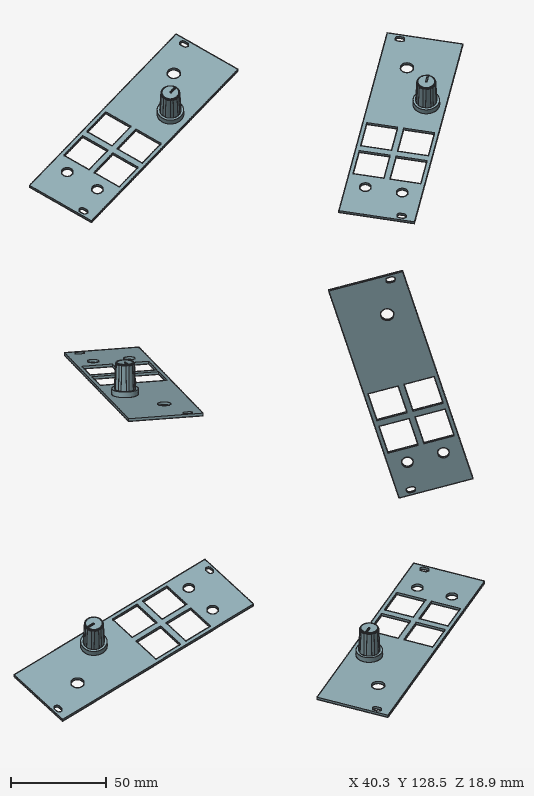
import cadquery as cq

PANEL_WIDTH = 40.3
PANEL_LENGTH = 128.5
PANEL_THICKNESS = 1.5

SLOT_LENGTH = 5.0
SLOT_WIDTH = 3.2
SLOT_X = 12.7
SLOT_Y = 61.3

LARGE_HOLE_DIAMETER = 7.0
LARGE_HOLE_X = -5.1
LARGE_HOLE_Y = 42.0
JACK_HOLE_DIAMETER = 6.0
JACK_HOLE_Y = -45.1

COLUMN_PITCH = 19.7

WINDOW_WIDTH = 16.5
WINDOW_HEIGHT = 16.6
WINDOW_ROW_PITCH = 20.2
WINDOW_GRID_Y = -18.6

KNOB_X = COLUMN_PITCH / 2
KNOB_Y = 18.9
KNOB_TOP_Z = 18.9
COLLAR_BASE_DIAMETER = 14.1
COLLAR_TOP_DIAMETER = 13.9
COLLAR_HEIGHT = 3.0
GRIP_BASE_DIAMETER = 11.2
GRIP_TOP_DIAMETER = 10.0
GRIP_CHAMFER_HEIGHT = 0.4

GROOVE_COUNT = 8
GROOVE_WIDTH = 1.5
GROOVE_DEPTH = 0.1

CAP_HEIGHT = 0.4
CAP_BASE_DIAMETER = 9.5
CAP_TOP_DIAMETER = 8.7
POINTER_WIDTH = 0.8
POINTER_LENGTH = 4.6

COLUMN_XS = (-COLUMN_PITCH / 2, COLUMN_PITCH / 2)
GRIP_BASE_Z = PANEL_THICKNESS + COLLAR_HEIGHT
CAP_BASE_Z = KNOB_TOP_Z - CAP_HEIGHT
GRIP_HEIGHT = CAP_BASE_Z - GRIP_BASE_Z


def make_round(profile, base_z):
    """Solid of revolution about the knob axis from (radius, height) points above base_z."""
    bottom, top = profile[0][1], profile[-1][1]
    return (
        cq.Workplane("XZ")
        .polyline([(0, bottom), *profile, (0, top)]).close().revolve()
        .translate((KNOB_X, KNOB_Y, base_z))
    )


def make_panel():
    """Flat panel resting on Z = 0, with all its openings cut through."""
    window_rows = (WINDOW_GRID_Y - WINDOW_ROW_PITCH / 2, WINDOW_GRID_Y + WINDOW_ROW_PITCH / 2)
    return (
        cq.Workplane("XY")
        .box(PANEL_WIDTH, PANEL_LENGTH, PANEL_THICKNESS, centered=(True, True, False))
        .faces(">Z").workplane(origin=(0, 0, PANEL_THICKNESS))
        .pushPoints([(-SLOT_X, SLOT_Y), (SLOT_X, -SLOT_Y)])
        .slot2D(SLOT_LENGTH, SLOT_WIDTH).cutThruAll()
        .pushPoints([(LARGE_HOLE_X, LARGE_HOLE_Y)])
        .hole(LARGE_HOLE_DIAMETER)
        .pushPoints([(x, JACK_HOLE_Y) for x in COLUMN_XS])
        .hole(JACK_HOLE_DIAMETER)
        .pushPoints([(x, y) for x in COLUMN_XS for y in window_rows])
        .rect(WINDOW_WIDTH, WINDOW_HEIGHT).cutThruAll()
    )


def make_collar():
    """Slightly tapered disc between the panel and the grip."""
    profile = [(COLLAR_BASE_DIAMETER / 2, 0), (COLLAR_TOP_DIAMETER / 2, COLLAR_HEIGHT)]
    return make_round(profile, PANEL_THICKNESS)


def make_groove_cutter():
    """Bar on the +X side whose inner face follows the taper of the grip."""
    bottom_inner = GRIP_BASE_DIAMETER / 2 - GROOVE_DEPTH
    top_inner = GRIP_TOP_DIAMETER / 2 - GROOVE_DEPTH
    outer = COLLAR_BASE_DIAMETER / 2
    return (
        cq.Workplane("XZ")
        .polyline([(bottom_inner, 0), (outer, 0), (outer, GRIP_HEIGHT), (top_inner, GRIP_HEIGHT)])
        .close().extrude(GROOVE_WIDTH / 2, both=True)
    )


def make_grip():
    """Tapered grip with a chamfered top and grooves spaced evenly round it."""
    profile = [
        (GRIP_BASE_DIAMETER / 2, 0),
        (GRIP_TOP_DIAMETER / 2, GRIP_HEIGHT - GRIP_CHAMFER_HEIGHT),
        (CAP_BASE_DIAMETER / 2, GRIP_HEIGHT),
    ]
    grip = make_round(profile, GRIP_BASE_Z)
    groove_cutter = make_groove_cutter()
    for i in range(GROOVE_COUNT):
        turned_cutter = groove_cutter.rotate((0, 0, 0), (0, 0, 1), i * 360 / GROOVE_COUNT)
        grip = grip.cut(turned_cutter.translate((KNOB_X, KNOB_Y, GRIP_BASE_Z)))
    return grip


def make_pointer():
    """Bar from the knob axis towards the +Y edge of the cap, flush with the knob top."""
    return (
        cq.Workplane("XY", origin=(KNOB_X, KNOB_Y, CAP_BASE_Z))
        .box(POINTER_WIDTH, POINTER_LENGTH, CAP_HEIGHT, centered=(True, False, False))
    )


def make_cap(pointer):
    """Cap disc with a slot that the pointer fills."""
    profile = [(CAP_BASE_DIAMETER / 2, 0), (CAP_TOP_DIAMETER / 2, CAP_HEIGHT)]
    return make_round(profile, CAP_BASE_Z).cut(pointer)


panel = make_panel()
collar = make_collar()
grip = make_grip()
pointer = make_pointer()
cap = make_cap(pointer)

result = cq.Compound.makeCompound(
    [panel.val(), collar.val(), grip.val(), cap.val(), pointer.val()]
)